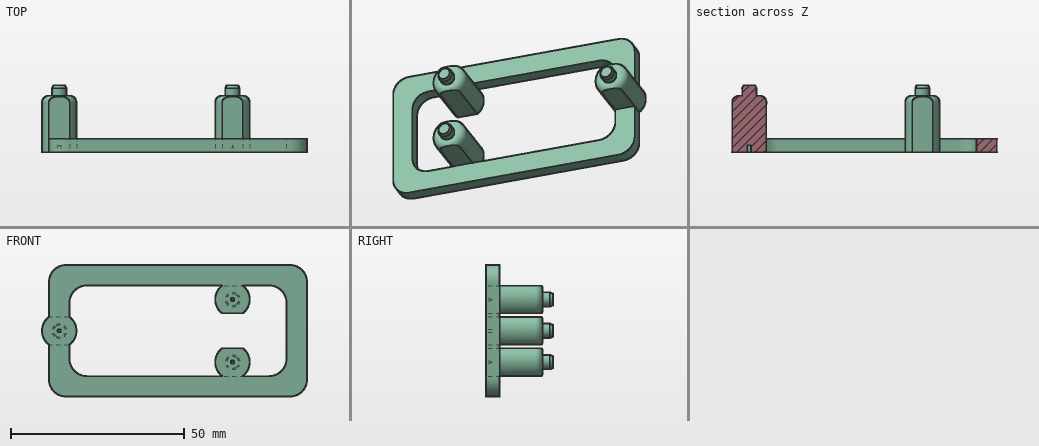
import cadquery as cq

overall_length = 76.5
frame_height = 38.0
frame_thickness = 4.0
border = 6.0
corner_radius = 5.0

post_diameter = 10.0
post_across_flats = 8.0
post_length = 16.4
post_end_round = 2.0
post_spacing_x = 49.95
pin_diameter = 4.2
pin_length = 3.0
pin_taper_length = 0.9
pin_taper_inset = 0.4
center_hole_diameter = 1.0
center_hole_depth = 2.0

post_overhang = (post_diameter - border) / 2
frame_length = overall_length - post_overhang
frame_left = -frame_length / 2
left_post_x = frame_left + border / 2
inner_post_x = left_post_x + post_spacing_x

opening_length = frame_length - 2 * border
opening_height = frame_height - 2 * border
inner_post_z = (opening_height - post_across_flats) / 2

left_post_position = (left_post_x, 0, 0)
paired_post_positions = [(inner_post_x, 0, side * inner_post_z) for side in (1, -1)]


def rounded_plate(length, height):
    """Plate with rounded corners, from Y = 0 to the frame thickness."""
    plate = cq.Workplane("XZ").rect(length, height).extrude(-frame_thickness)
    return plate.edges("|Y").fillet(corner_radius)


def make_post():
    """Post on the Y axis with two flats, a rounded end and a tapered pin."""
    body = cq.Workplane("XZ").circle(post_diameter / 2).extrude(-post_length)
    body = body.faces(">Y").edges().fillet(post_end_round)
    flats = cq.Workplane("XZ").rect(post_diameter, post_across_flats).extrude(-post_length)
    body = body.intersect(flats)

    pin_radius = pin_diameter / 2
    pin_end = post_length + pin_length
    pin = (
        cq.Workplane("XY")
        .moveTo(0, post_length)
        .lineTo(pin_radius, post_length)
        .lineTo(pin_radius, pin_end - pin_taper_length)
        .lineTo(pin_radius - pin_taper_inset, pin_end)
        .lineTo(0, pin_end)
        .close()
        .revolve(360, (0, 0, 0), (0, 1, 0))
    )
    return body.union(pin)


def make_flat_hole():
    """Blind hole with a flat bottom, running from the front face along the Y axis."""
    return cq.Workplane("XZ").circle(center_hole_diameter / 2).extrude(-center_hole_depth)


def make_conical_hole():
    """Blind hole narrowing to a point, running from the front face along the Y axis."""
    return cq.Workplane(
        cq.Solid.makeCone(
            center_hole_diameter / 2, 0, center_hole_depth, cq.Vector(0, 0, 0), cq.Vector(0, 1, 0)
        )
    )


frame = rounded_plate(frame_length, frame_height).cut(rounded_plate(opening_length, opening_height))
post = make_post()
flat_hole = make_flat_hole()
conical_hole = make_conical_hole()

result = frame.union(post.translate(left_post_position))
result = result.cut(flat_hole.translate(left_post_position))
for position in paired_post_positions:
    result = result.union(post.translate(position))
    result = result.cut(conical_hole.translate(position))